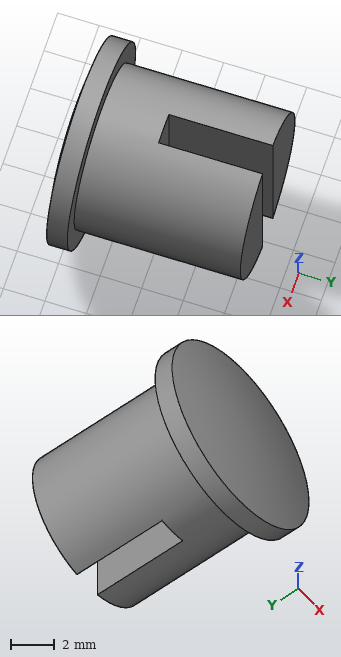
import cadquery as cq

head_diameter = 10.0
head_thickness = 1.0
dome_height = 0.5
shank_diameter = 8.0
shank_length = 8.0
slot_width = 1.5
slot_depth = 5.0

head_radius = head_diameter / 2
shank_radius = shank_diameter / 2
shank_end = head_thickness + shank_length

sphere_radius = (head_radius**2 + dome_height**2) / (2 * dome_height)
arc_mid_x = head_radius / 2
arc_mid_y = sphere_radius - dome_height - (sphere_radius**2 - arc_mid_x**2) ** 0.5


def make_body():
    """Head and shank, turned about the Y axis from a half profile."""
    return (
        cq.Workplane("XY")
        .moveTo(0, -dome_height)
        .threePointArc((arc_mid_x, arc_mid_y), (head_radius, 0))
        .lineTo(head_radius, head_thickness)
        .lineTo(shank_radius, head_thickness)
        .lineTo(shank_radius, shank_end)
        .lineTo(0, shank_end)
        .close()
        .revolve(360, (0, 0, 0), (0, 1, 0))
    )


def make_slot():
    """Cutter for the slot that splits the free end of the shank along Z."""
    return (
        cq.Workplane("XY")
        .box(slot_width, slot_depth, shank_diameter)
        .translate((0, shank_end - slot_depth / 2, 0))
    )


result = make_body().cut(make_slot())